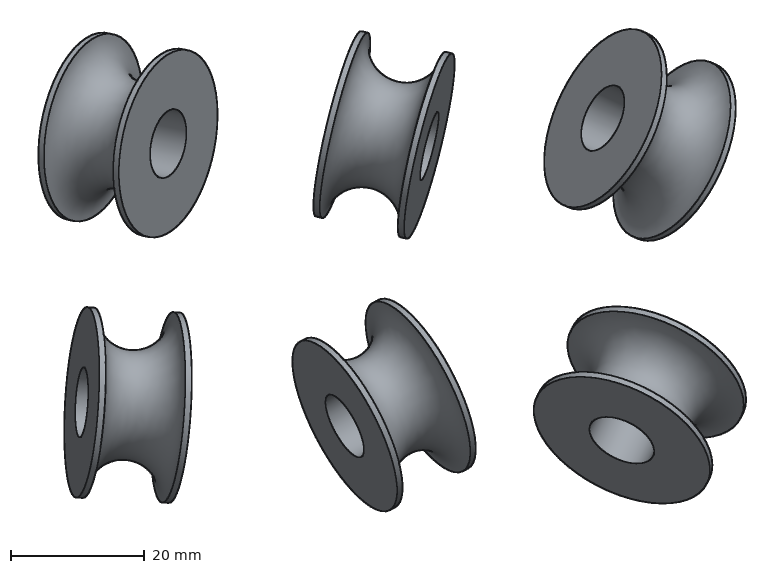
import cadquery as cq

outer_diameter = 28.6
width = 14.1
bore_diameter = 10.5
rim_width = 1.0

outer_radius = outer_diameter / 2
bore_radius = bore_diameter / 2
half_width = width / 2
groove_radius = half_width - rim_width


def make_roller():
    """Revolve the half section, drawn with X along the axis and Y as radius."""
    section = (
        cq.Workplane("XY")
        .moveTo(-half_width, bore_radius)
        .lineTo(-half_width, outer_radius)
        .lineTo(-groove_radius, outer_radius)
        .threePointArc((0, outer_radius - groove_radius), (groove_radius, outer_radius))
        .lineTo(half_width, outer_radius)
        .lineTo(half_width, bore_radius)
        .close()
    )
    return section.revolve(360, (0, 0, 0), (1, 0, 0))


result = make_roller()